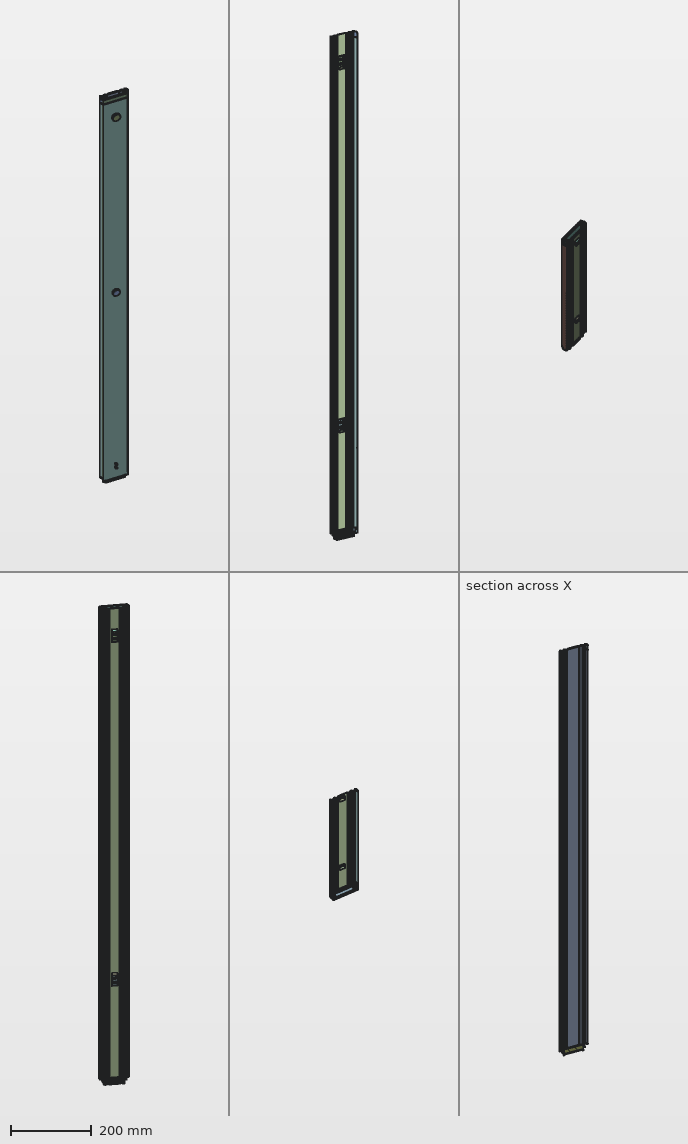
import cadquery as cq
import math

length = 1320.8
height = 76.19
overall_width = 30.39

rail_width = 19.05
sheet = 2.4
clearance = 0.3
half_rail = rail_width / 2
attachment_height = (overall_width - rail_width) / 2
top = length / 2
bottom = -length / 2

outer_bottom_setback = 17.0
cap_length = 15.0
outer_bottom = bottom + outer_bottom_setback
outer_top = top - cap_length
outer_half = height / 2
lip_half = 34.5
mouth_half = 32.0
shoulder_half = 36.0
back_half = 34.0
shoulder_x = 5.0
web_extension = 9.0

lip_drop_root = math.sqrt(outer_half - lip_half)
shoulder_drop_root = math.sqrt(outer_half - shoulder_half)
crown_fraction = lip_drop_root / (lip_drop_root + shoulder_drop_root)
flange_crown_x = -half_rail + (shoulder_x + half_rail) * crown_fraction

middle_half = 30.5
middle_corner = 3.0
middle_bottom_setback = 9.0
middle_bottom = bottom + middle_bottom_setback
middle_back_x = half_rail - sheet - clearance
middle_mouth_x = -half_rail + sheet
tongue_half = 26.5

inner_half = 26.5
inner_back_x = 0.5
inner_corner = 2.5
band_half = 12.0
groove_inner_bottom = 15.0
groove_outer_bottom = 18.0
groove_outer_top = 21.0
groove_depth = 2.0

stop_height = 20.0
stop_lift = 4.0
stop_back_x = middle_back_x - sheet - clearance
rib_gap_levels = (3.0, 9.0, 15.0)
rib_gap = 3.5
rib_gap_depth = 2.0

hook_levels = (585.0, -369.0)
hook_length = 36.0
hook_crown = 28.0
hook_half_width = 7.0
hook_window_width = 6.0
hook_window_height = 5.0
hook_window_pitch = 12.0

back_pads = ((593.0, 21.0), (-10.0, 19.0), (-601.0, 4.5), (-613.0, 4.5))


def prism(outline, z_from, z_to):
    """Extrude a closed XY outline along Z between two levels."""
    return outline.extrude(z_to - z_from).translate((0, 0, z_from))


def box(x_from, x_to, half_y, z_from, z_to):
    """Block centred on Y = 0."""
    block = cq.Workplane("XY").box(x_to - x_from, 2 * half_y, z_to - z_from, centered=(False, True, False))
    return block.translate((x_from, 0, z_from))


def outer_outline():
    """Outside outline of the outer rail, with arched flanges and chamfered back corners."""
    return (
        cq.Workplane("XY")
        .moveTo(-half_rail, lip_half)
        .threePointArc((flange_crown_x, outer_half), (shoulder_x, shoulder_half))
        .lineTo(half_rail, back_half)
        .lineTo(half_rail, -back_half)
        .lineTo(shoulder_x, -shoulder_half)
        .threePointArc((flange_crown_x, -outer_half), (-half_rail, -lip_half))
        .close()
    )


def channel(z_from, z_to):
    """C-shaped sheet section with its mouth towards -X."""
    rail = prism(outer_outline(), z_from, z_to)
    cavity = prism(outer_outline().offset2D(-sheet), z_from, z_to)
    mouth = box(-half_rail, 0, mouth_half, z_from, z_to)
    return rail.cut(cavity).cut(mouth)


def make_outer_rail():
    """C-shaped rail whose web runs on below the flanges, with pads and studs on its back."""
    rail = channel(outer_bottom, outer_top)
    extension = box(half_rail - sheet, half_rail, back_half, outer_bottom - web_extension, outer_bottom)
    rail = rail.union(extension)
    for level, diameter in back_pads:
        pad = cq.Workplane("YZ", origin=(half_rail, 0, level)).circle(diameter / 2).extrude(attachment_height)
        rail = rail.union(pad)
    return rail


def make_end_cap():
    """Cap that continues the outer rail section up to the top end."""
    return channel(outer_top, top)


def make_middle_rail():
    """C-shaped rail lying against the back of the outer rail, with a tongue at its lower end."""
    rail = box(middle_mouth_x, middle_back_x, middle_half, middle_bottom, top)
    rail = rail.edges("|Z and >X").fillet(middle_corner)
    cavity = box(middle_mouth_x, middle_back_x - sheet, middle_half - sheet, middle_bottom, top)
    tongue = box(middle_back_x - sheet, middle_back_x, tongue_half, bottom, middle_bottom)
    return rail.cut(cavity).union(tongue)


def make_groove(side):
    """Trapezoidal groove along the front of the inner rail."""
    front = -half_rail
    floor = front + groove_depth
    outline = cq.Workplane("XY").polyline([
        (front, side * band_half),
        (floor, side * groove_inner_bottom),
        (floor, side * groove_outer_bottom),
        (front, side * groove_outer_top),
    ]).close()
    return prism(outline, bottom, top)


def make_hook(level):
    """Raised bridge with ramped ends and two windows."""
    front = -half_rail
    crown = front - attachment_height
    hook = (
        cq.Workplane("XZ")
        .polyline([
            (front, level - hook_length / 2),
            (crown, level - hook_crown / 2),
            (crown, level + hook_crown / 2),
            (front, level + hook_length / 2),
        ])
        .close()
        .extrude(hook_half_width, both=True)
    )
    windows = (
        cq.Workplane("YZ", origin=(crown, 0, level))
        .rarray(1, hook_window_pitch, 1, 2)
        .rect(hook_window_width, hook_window_height)
        .extrude(attachment_height)
    )
    return hook.cut(windows)


def make_stop():
    """Block that fills the hollow of the inner rail just above its lower end."""
    front = -half_rail + sheet + groove_depth
    return box(front, stop_back_x, inner_half - sheet, bottom + stop_lift, bottom + stop_height)


def make_inner_rail():
    """C-shaped rail with its web towards -X, grooved beside the flat centre band."""
    rail = box(-half_rail, inner_back_x, inner_half, bottom, top)
    rail = rail.edges("|Z and <X").chamfer(inner_corner)
    web = sheet + groove_depth
    rail = rail.cut(box(-half_rail + web, inner_back_x, inner_half - sheet, bottom, top))
    for side in (-1, 1):
        rail = rail.cut(make_groove(side))
    rail = rail.union(make_stop())
    for height_above_end in rib_gap_levels:
        gap_bottom = bottom + height_above_end
        gap = box(-half_rail, -half_rail + rib_gap_depth, band_half, gap_bottom, gap_bottom + rib_gap)
        rail = rail.cut(gap)
    for level in hook_levels:
        rail = rail.union(make_hook(level))
    return rail


outer_rail = make_outer_rail()
end_cap = make_end_cap()
middle_rail = make_middle_rail()
inner_rail = make_inner_rail()

result = cq.Compound.makeCompound([outer_rail.val(), end_cap.val(), middle_rail.val(), inner_rail.val()])